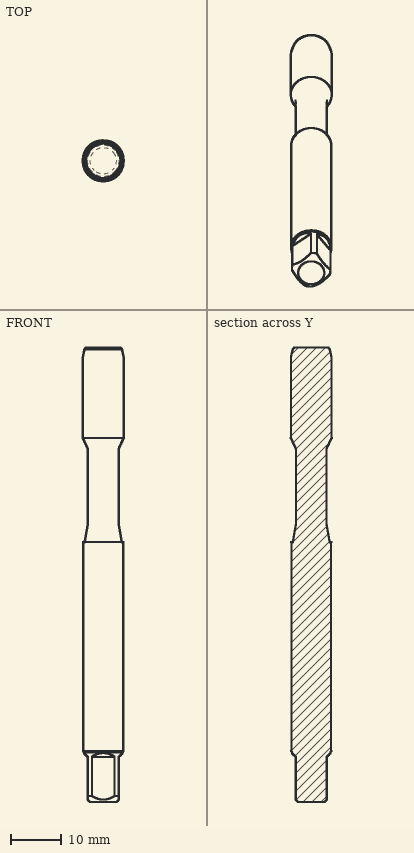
import cadquery as cq
import math

total_length = 90.2

head_dia = 8.16
head_top_dia = 6.8
head_rim_dia = 7.5
neck_dia = 6.23
shank_dia = 8.0
taper_base_dia = 7.4
drive_dia = 7.68
drive_tip_dia = 5.2

shank_bottom = 10.15
drive_top = 9.9
shank_top = 51.6
neck_bottom = 55.0
neck_top = 70.0
head_bottom = 72.2
head_shoulder = 88.2

neck_fillet_height = 0.6
neck_fillet_growth = 0.2
rim_height = 0.4

drive_sides = 4
across_flats = 6.2
flat_top = 9.0
runout_angle = 45.0


def make_body():
    """Turned body: drive, shank, waisted neck and head, revolved about Z."""
    tip_chamfer = (drive_dia - drive_tip_dia) / 2
    neck_radius = neck_dia / 2
    fillet_end = (neck_radius + neck_fillet_growth, neck_top + neck_fillet_height)
    return (
        cq.Workplane("XZ")
        .moveTo(0, 0)
        .lineTo(drive_tip_dia / 2, 0)
        .lineTo(drive_dia / 2, tip_chamfer)
        .lineTo(drive_dia / 2, drive_top)
        .lineTo(shank_dia / 2, shank_bottom)
        .lineTo(shank_dia / 2, shank_top)
        .lineTo(taper_base_dia / 2, shank_top)
        .lineTo(neck_radius, neck_bottom)
        .lineTo(neck_radius, neck_top)
        .tangentArcPoint(fillet_end, relative=False)
        .lineTo(head_dia / 2, head_bottom)
        .lineTo(head_dia / 2, head_shoulder)
        .lineTo(head_rim_dia / 2, total_length - rim_height)
        .lineTo(head_top_dia / 2, total_length)
        .lineTo(0, total_length)
        .close()
        .revolve(360, (0, 0, 0), (0, 1, 0))
    )


def make_flat_cutter():
    """Material removed for one drive flat on +X, ending in a sloped run-out."""
    flat_distance = across_flats / 2
    runout_depth = shank_dia / 2 - flat_distance
    runout_height = runout_depth / math.tan(math.radians(runout_angle))
    return (
        cq.Workplane("XZ")
        .moveTo(flat_distance, 0)
        .lineTo(flat_distance, flat_top)
        .lineTo(flat_distance + runout_depth, flat_top + runout_height)
        .lineTo(flat_distance + runout_depth, 0)
        .close()
        .extrude(shank_dia / 2, both=True)
    )


result = make_body()
flat_cutter = make_flat_cutter()
for side in range(drive_sides):
    side_angle = side * 360 / drive_sides
    result = result.cut(flat_cutter.rotate((0, 0, 0), (0, 0, 1), side_angle))